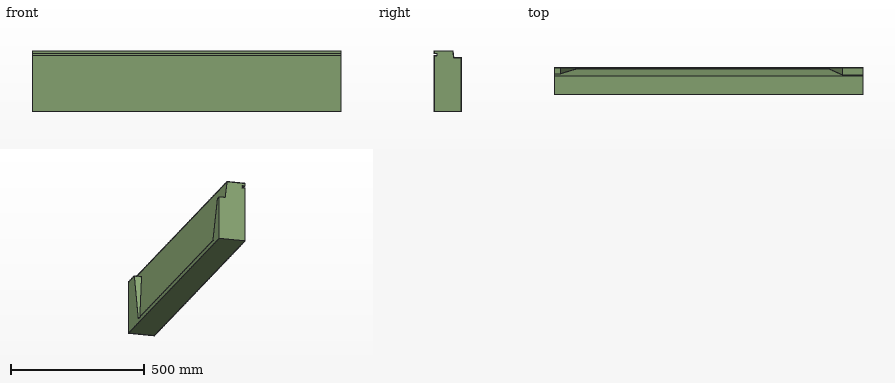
import cadquery as cq

length = 1160.0
depth = 102.0
height = 228.0

crown_depth = 71.0
foot_height = 17.0
foot_width = 6.0

left_pad_height = 165.0
left_pad_length = 22.0
left_spread = 58.0
right_pad_height = 203.0
right_pad_length = 77.0
right_spread = 50.0

groove_depth = 10.0
groove_height = 8.0
lip_height = 10.0

half_length = length / 2


def make_wall():
    """Full-length wall with a leaning back and a narrow foot."""
    profile = [
        (0, 0),
        (depth, 0),
        (depth, foot_height),
        (depth - foot_width, foot_height),
        (crown_depth, height),
        (0, height),
    ]
    return cq.Workplane("YZ").polyline(profile).close().extrude(length).translate((-half_length, 0, 0))


def make_buttress(side, pad_height, pad_length, spread):
    """Flat-topped end block whose inner face spreads toward the foot; side is -1 or 1."""
    end_x = side * half_length
    pad_edge_x = end_x - side * pad_length
    profile = [
        (end_x, 0),
        (end_x, pad_height),
        (pad_edge_x, pad_height),
        (pad_edge_x - side * spread, foot_height),
        (pad_edge_x - side * spread, 0),
    ]
    return cq.Workplane("XZ").polyline(profile).close().extrude(-depth)


def make_groove():
    """Straight rectangular groove running the full length of the front face."""
    groove = cq.Workplane("XY").box(length, groove_depth, groove_height, centered=(True, False, False))
    return groove.translate((0, 0, height - lip_height - groove_height))


left_buttress = make_buttress(-1, left_pad_height, left_pad_length, left_spread)
right_buttress = make_buttress(1, right_pad_height, right_pad_length, right_spread)

result = make_wall().union(left_buttress).union(right_buttress).cut(make_groove())